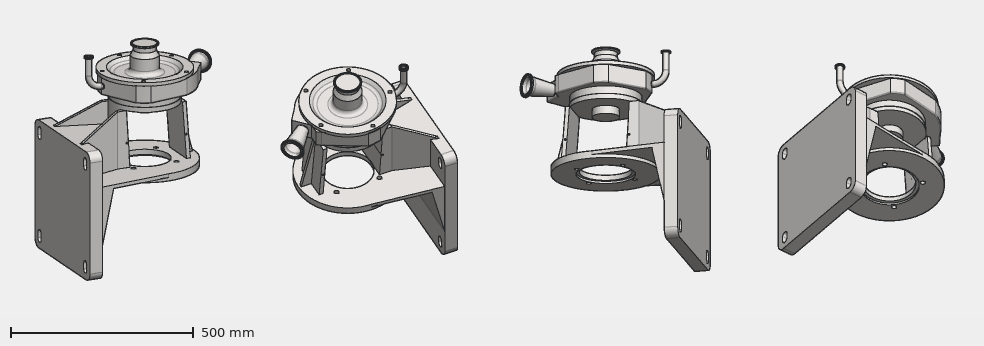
import cadquery as cq
import math


PLATE_WIDTH = 350.0
PLATE_HEIGHT = 370.0
PLATE_THICKNESS = 38.5
PLATE_BACK_Y = -249.5
PLATE_CORNER_RADIUS = 25.0
SLOT_X = 145.0
SLOT_EDGE_DISTANCE = 36.0
SLOT_WIDTH = 19.0
SLOT_LENGTH = 35.5
PLATE_FRONT_Y = PLATE_BACK_Y + PLATE_THICKNESS

BASE_TOP_Z = 270.0
BASE_SHEET_THICKNESS = 11.0
BASE_RING_THICKNESS = 10.0
BASE_RADIUS = 150.0
BASE_HALF_WIDTH = 173.5
BASE_BORE_RADIUS = 72.5
BASE_RECESS_RADIUS = 81.5
BASE_RECESS_DEPTH = 6.0
BASE_HOLE_CIRCLE_RADIUS = 92.0
BASE_HOLE_COUNT = 4
FIRST_BASE_HOLE_ANGLE = 45.0
BASE_HOLE_DIAMETER = 13.0
BASE_SHEET_BOTTOM_Z = BASE_TOP_Z - BASE_SHEET_THICKNESS
BASE_BOTTOM_Z = BASE_SHEET_BOTTOM_Z - BASE_RING_THICKNESS

WEDGE_REACH = 36.0
WEDGE_BOTTOM_Z = 100.0

RING_BOTTOM_Z = 435.5
COLUMN_HALF_WIDTH = 54.0
FRONT_INNER_Y_TOP = -81.0
FRONT_INNER_Y_BOTTOM = -70.5
REAR_INNER_Y_TOP = 88.5
REAR_INNER_Y_BOTTOM = 101.0
REAR_OUTER_Y_TOP = 100.0
REAR_OUTER_Y_BOTTOM = 113.0
REAR_RIB_Y_TOP = 101.5
REAR_RIB_Y_BOTTOM = 143.0
RIB_THICKNESS = 9.5
FRONT_RIB_START_Y = -108.0
FRONT_RIB_END_Y = -234.0
FRONT_RIB_SPLAY = 16.0
COLUMN_OVERLAP = 6.0
PIN_HOLE_DIAMETER = 5.0
PIN_HOLE_Z = 340.5
PIN_HOLE_YS = (-79.5, 101.0)

LOWER_RING_RADIUS = 100.0
LOWER_RING_HEIGHT = 14.5
UPPER_RING_RADIUS = 99.0
STUB_RADIUS = 37.5
STUB_LENGTH = 23.0

CASING_BOTTOM_Z = 471.5
CASING_RADIUS = 131.0
CASING_FILLET = 3.0
FLANGE_RADIUS = 134.0
FLANGE_THICKNESS = 10.0
FLANGE_TOP_Z = 533.0
BOLT_COUNT = 5
BOLT_CIRCLE_RADIUS = 121.0
BOLT_HOLE_DIAMETER = 11.0
FIRST_BOLT_ANGLE = 45.0
LAND_HALF_ANGLE = 9.0
FLANGE_BOTTOM_Z = FLANGE_TOP_Z - FLANGE_THICKNESS
PORT_Z = (CASING_BOTTOM_Z + FLANGE_BOTTOM_Z) / 2

SPOUT_CORNER = (6.0, 167.5)
SPOUT_FACE_RUN = 41.0
SPOUT_WALL_END = (45.0, 140.5)
SPOUT_CURVE_MID = (79.5, 115.0)
SPOUT_HEEL = (-64.0, 126.5)
SPOUT_HEEL_FLAT_END = (-72.5, 114.5)

DISH_DEPTH = 14.5
DISH_RIM_RADIUS = 105.0
DISH_FLOOR_RADIUS = 84.0
HUB_RADIUS = 40.0
HUB_FILLET_RADIUS = DISH_DEPTH

GROOVE_INSET = 3.0
GROOVE_WIDTH = 2.0
GROOVE_DEPTH = 1.0

SUCTION_TOP_Z = 603.0
SUCTION_RIM_RADIUS = 38.5
SUCTION_RIM_THICKNESS = 3.5
SUCTION_RIM_TAPER = 3.0
NECK_RADIUS = 32.0
NECK_BOTTOM_Z = 584.0
SHOULDER_Z = 568.0

OUTLET_FLANGE_CENTER = (-76.5, 205.0)
OUTLET_ANGLE = 45.0
OUTLET_LENGTH = 85.0
OUTLET_RIM_RADIUS = 33.0
OUTLET_RIM_THICKNESS = 3.5
OUTLET_COLLAR_LENGTH = 14.5
OUTLET_PIPE_RADIUS = 27.0
OUTLET_THROAT_RADIUS = 17.5
OUTLET_WALL = 3.0

DRAIN_Y = -170.0
DRAIN_TOP_Z = 588.5
DRAIN_RADIUS = 9.0
DRAIN_BORE_RADIUS = 6.0
DRAIN_BEND_RADIUS = 36.0
DRAIN_RIM_RADIUS = 13.0
DRAIN_RIM_THICKNESS = 4.0
DRAIN_START_Y = -126.5


def cylinder(radius, bottom_z, top_z):
    return cq.Workplane("XY").workplane(offset=bottom_z).circle(radius).extrude(top_z - bottom_z)


def side_profile(points, half_width):
    """Extrude a closed (y, z) outline symmetrically about the YZ plane."""
    return cq.Workplane("YZ").polyline(points).close().extrude(half_width, both=True)


def on_circle(radius, angle):
    return (radius * math.cos(math.radians(angle)), radius * math.sin(math.radians(angle)))


def mounting_plate():
    slot_rise = PLATE_HEIGHT / 2 - SLOT_EDGE_DISTANCE
    slot_points = [(x, z) for x in (-SLOT_X, SLOT_X) for z in (-slot_rise, slot_rise)]
    front = cq.Workplane("XZ", origin=(0, PLATE_FRONT_Y, PLATE_HEIGHT / 2))
    plate = front.rect(PLATE_WIDTH, PLATE_HEIGHT).extrude(PLATE_THICKNESS)
    plate = plate.edges("|Y").fillet(PLATE_CORNER_RADIUS)
    slots = front.pushPoints(slot_points).slot2D(SLOT_LENGTH, SLOT_WIDTH, 90).extrude(PLATE_THICKNESS)
    return plate.cut(slots)


def base_outline(bottom_z, height):
    """Half disc on the pump axis joined by straight sides to the full width of the plate."""
    return (
        cq.Workplane("XY", origin=(0, 0, bottom_z))
        .moveTo(-BASE_HALF_WIDTH, PLATE_FRONT_Y)
        .lineTo(BASE_HALF_WIDTH, PLATE_FRONT_Y)
        .lineTo(BASE_RADIUS, 0)
        .threePointArc((0, BASE_RADIUS), (-BASE_RADIUS, 0))
        .close()
        .extrude(height)
    )


def base_flange():
    base = base_outline(BASE_SHEET_BOTTOM_Z, BASE_SHEET_THICKNESS)
    base = base.union(cylinder(BASE_RADIUS, BASE_BOTTOM_Z, BASE_SHEET_BOTTOM_Z))
    base = base.cut(cylinder(BASE_BORE_RADIUS, BASE_BOTTOM_Z, BASE_TOP_Z))
    base = base.cut(cylinder(BASE_RECESS_RADIUS, BASE_BOTTOM_Z, BASE_BOTTOM_Z + BASE_RECESS_DEPTH))
    holes = (
        cq.Workplane("XY", origin=(0, 0, BASE_BOTTOM_Z))
        .polarArray(BASE_HOLE_CIRCLE_RADIUS, FIRST_BASE_HOLE_ANGLE, 360, BASE_HOLE_COUNT)
        .circle(BASE_HOLE_DIAMETER / 2)
        .extrude(BASE_TOP_Z - BASE_BOTTOM_Z)
    )
    return base.cut(holes)


def wedge():
    profile = side_profile(
        [
            (PLATE_FRONT_Y, BASE_SHEET_BOTTOM_Z),
            (PLATE_FRONT_Y + WEDGE_REACH, BASE_SHEET_BOTTOM_Z),
            (PLATE_FRONT_Y, WEDGE_BOTTOM_Z),
        ],
        PLATE_WIDTH / 2,
    )
    return profile.intersect(base_outline(WEDGE_BOTTOM_Z, BASE_SHEET_BOTTOM_Z - WEDGE_BOTTOM_Z))


def front_column():
    wall = side_profile(
        [
            (FRONT_INNER_Y_BOTTOM, BASE_TOP_Z),
            (FRONT_INNER_Y_TOP, RING_BOTTOM_Z),
            (FRONT_RIB_START_Y, RING_BOTTOM_Z),
            (FRONT_RIB_START_Y, BASE_TOP_Z),
        ],
        COLUMN_HALF_WIDTH,
    )
    return wall.intersect(cylinder(LOWER_RING_RADIUS, BASE_TOP_Z, RING_BOTTOM_Z))


def front_ribs_and_shelf():
    """Splayed ribs tying the front column to the plate, with a shelf filling the space between."""
    run_per_length = math.tan(math.radians(FRONT_RIB_SPLAY))
    width_along_x = RIB_THICKNESS / math.cos(math.radians(FRONT_RIB_SPLAY))
    inner_start_y = FRONT_INNER_Y_TOP - COLUMN_OVERLAP

    def outer_x(y):
        return COLUMN_HALF_WIDTH + (FRONT_RIB_START_Y - y) * run_per_length

    outer_end = (outer_x(FRONT_RIB_END_Y), FRONT_RIB_END_Y)
    inner_end = (outer_end[0] - width_along_x, FRONT_RIB_END_Y)
    inner_start = (outer_x(inner_start_y) - width_along_x, inner_start_y)
    rib_outline = [
        (COLUMN_HALF_WIDTH, FRONT_INNER_Y_TOP),
        (COLUMN_HALF_WIDTH, FRONT_RIB_START_Y),
        outer_end,
        inner_end,
        inner_start,
    ]
    rib = cq.Workplane("XY", origin=(0, 0, BASE_TOP_Z)).polyline(rib_outline).close()
    rib = rib.extrude(RING_BOTTOM_Z - BASE_TOP_Z)
    slope = side_profile(
        [
            (FRONT_INNER_Y_TOP, BASE_TOP_Z),
            (FRONT_INNER_Y_TOP, RING_BOTTOM_Z),
            (FRONT_RIB_START_Y, RING_BOTTOM_Z),
            (FRONT_RIB_END_Y, PLATE_HEIGHT),
            (PLATE_FRONT_Y, PLATE_HEIGHT),
            (PLATE_FRONT_Y, BASE_TOP_Z),
        ],
        PLATE_WIDTH / 2,
    )
    rib = rib.intersect(slope)
    shelf_half = [inner_start, inner_end]
    shelf_outline = shelf_half + [(-x, y) for x, y in reversed(shelf_half)]
    shelf = cq.Workplane("XY", origin=(0, 0, BASE_TOP_Z)).polyline(shelf_outline).close()
    shelf = shelf.extrude(PLATE_HEIGHT - BASE_TOP_Z).intersect(slope)
    return shelf.union(rib).union(rib.mirror("YZ"))


def rear_column():
    def leaning(inner_top, inner_bottom, outer_top, outer_bottom, half_width):
        outline = [
            (inner_bottom, BASE_TOP_Z),
            (inner_top, RING_BOTTOM_Z),
            (outer_top, RING_BOTTOM_Z),
            (outer_bottom, BASE_TOP_Z),
        ]
        return side_profile(outline, half_width)

    wall = leaning(
        REAR_INNER_Y_TOP, REAR_INNER_Y_BOTTOM, REAR_OUTER_Y_TOP, REAR_OUTER_Y_BOTTOM, COLUMN_HALF_WIDTH
    )
    rib = leaning(REAR_INNER_Y_TOP, REAR_INNER_Y_BOTTOM, REAR_RIB_Y_TOP, REAR_RIB_Y_BOTTOM, RIB_THICKNESS / 2)
    return wall.union(rib)


def pin_holes():
    return (
        cq.Workplane("YZ")
        .pushPoints([(y, PIN_HOLE_Z) for y in PIN_HOLE_YS])
        .circle(PIN_HOLE_DIAMETER / 2)
        .extrude(PLATE_WIDTH / 2, both=True)
    )


def bearing_ring():
    lower_top_z = RING_BOTTOM_Z + LOWER_RING_HEIGHT
    ring = cylinder(LOWER_RING_RADIUS, RING_BOTTOM_Z, lower_top_z)
    ring = ring.union(cylinder(UPPER_RING_RADIUS, lower_top_z, CASING_BOTTOM_Z))
    return ring.union(cylinder(STUB_RADIUS, RING_BOTTOM_Z - STUB_LENGTH, RING_BOTTOM_Z))


def casing():
    """Volute body: round lands at the bolts, flats between them and a spout towards the outlet."""
    spacing = 360 / BOLT_COUNT
    outline = cq.Workplane("XY", origin=(0, 0, CASING_BOTTOM_Z)).moveTo(*SPOUT_HEEL_FLAT_END)
    for index in range(2, BOLT_COUNT):
        angle = FIRST_BOLT_ANGLE + index * spacing
        outline = outline.lineTo(*on_circle(CASING_RADIUS, angle - LAND_HALF_ANGLE))
        outline = outline.threePointArc(
            on_circle(CASING_RADIUS, angle), on_circle(CASING_RADIUS, angle + LAND_HALF_ANGLE)
        )
    outline = (
        outline.lineTo(*on_circle(CASING_RADIUS, FIRST_BOLT_ANGLE - LAND_HALF_ANGLE))
        .threePointArc(SPOUT_CURVE_MID, SPOUT_WALL_END)
        .lineTo(*SPOUT_CORNER)
        .lineTo(SPOUT_CORNER[0] - SPOUT_FACE_RUN, SPOUT_CORNER[1] - SPOUT_FACE_RUN)
        .lineTo(*SPOUT_HEEL)
        .close()
    )
    body = outline.extrude(FLANGE_BOTTOM_Z - CASING_BOTTOM_Z).faces("<Z").edges().fillet(CASING_FILLET)
    body = body.union(cylinder(FLANGE_RADIUS, FLANGE_BOTTOM_Z, FLANGE_TOP_Z))
    bolt_holes = (
        cq.Workplane("XY", origin=(0, 0, FLANGE_BOTTOM_Z))
        .polarArray(BOLT_CIRCLE_RADIUS, FIRST_BOLT_ANGLE, 360, BOLT_COUNT)
        .circle(BOLT_HOLE_DIAMETER / 2)
        .extrude(FLANGE_THICKNESS)
    )
    return body.cut(bolt_holes)


def dish():
    """Recess with a 45 degree rim, blended into its floor and into the suction hub."""
    floor_z = FLANGE_TOP_Z - DISH_DEPTH
    rim_blend = DISH_RIM_RADIUS - DISH_DEPTH - DISH_FLOOR_RADIUS
    blend_offset = rim_blend * math.cos(math.radians(45))
    hub_fillet_mid = HUB_FILLET_RADIUS * (1 - math.cos(math.radians(45)))
    return (
        cq.Workplane("XZ")
        .moveTo(HUB_RADIUS, FLANGE_TOP_Z)
        .threePointArc(
            (HUB_RADIUS + hub_fillet_mid, floor_z + hub_fillet_mid),
            (HUB_RADIUS + HUB_FILLET_RADIUS, floor_z),
        )
        .lineTo(DISH_FLOOR_RADIUS, floor_z)
        .tangentArcPoint((rim_blend + blend_offset, blend_offset))
        .lineTo(DISH_RIM_RADIUS, FLANGE_TOP_Z)
        .close()
        .revolve(360, (0, 0, 0), (0, 1, 0))
    )


def gasket_groove(rim_radius, top_z):
    outer_radius = rim_radius - GROOVE_INSET
    face = cq.Workplane("XY", origin=(0, 0, top_z))
    return face.circle(outer_radius).circle(outer_radius - GROOVE_WIDTH).extrude(-GROOVE_DEPTH)


def suction_nozzle():
    rim_bottom_z = SUCTION_TOP_Z - SUCTION_RIM_THICKNESS
    outline = [
        (0, FLANGE_TOP_Z),
        (HUB_RADIUS, FLANGE_TOP_Z),
        (HUB_RADIUS, SHOULDER_Z),
        (NECK_RADIUS, NECK_BOTTOM_Z),
        (NECK_RADIUS, rim_bottom_z - SUCTION_RIM_TAPER),
        (SUCTION_RIM_RADIUS, rim_bottom_z),
        (SUCTION_RIM_RADIUS, SUCTION_TOP_Z),
        (0, SUCTION_TOP_Z),
    ]
    nozzle = cq.Workplane("XZ").polyline(outline).close().revolve(360, (0, 0, 0), (0, 1, 0))
    return nozzle.cut(gasket_groove(SUCTION_RIM_RADIUS, SUCTION_TOP_Z))


def discharge_nozzle():
    """Hollow flared pipe, described from its flange face (local Z = 0) back to the casing."""
    outline = [
        (OUTLET_PIPE_RADIUS - OUTLET_WALL, 0),
        (OUTLET_RIM_RADIUS, 0),
        (OUTLET_RIM_RADIUS, -OUTLET_RIM_THICKNESS),
        (OUTLET_PIPE_RADIUS, -OUTLET_RIM_THICKNESS),
        (OUTLET_PIPE_RADIUS, -OUTLET_COLLAR_LENGTH),
        (OUTLET_THROAT_RADIUS, -OUTLET_LENGTH),
        (OUTLET_THROAT_RADIUS - OUTLET_WALL, -OUTLET_LENGTH),
        (OUTLET_PIPE_RADIUS - OUTLET_WALL, -OUTLET_COLLAR_LENGTH),
    ]
    pipe = cq.Workplane("XZ").polyline(outline).close().revolve(360, (0, 0, 0), (0, 1, 0))
    pipe = pipe.cut(gasket_groove(OUTLET_RIM_RADIUS, 0))
    pipe = pipe.rotate((0, 0, 0), (1, 0, 0), -90).rotate((0, 0, 0), (0, 0, 1), OUTLET_ANGLE)
    return pipe.translate((OUTLET_FLANGE_CENTER[0], OUTLET_FLANGE_CENTER[1], PORT_Z))


def drain_elbow():
    bend_mid = DRAIN_BEND_RADIUS * math.cos(math.radians(45))
    bend_center_y = DRAIN_Y + DRAIN_BEND_RADIUS
    bend_center_z = PORT_Z + DRAIN_BEND_RADIUS
    path = (
        cq.Workplane("YZ")
        .moveTo(DRAIN_START_Y, PORT_Z)
        .lineTo(bend_center_y, PORT_Z)
        .threePointArc((bend_center_y - bend_mid, bend_center_z - bend_mid), (DRAIN_Y, bend_center_z))
        .lineTo(DRAIN_Y, DRAIN_TOP_Z)
    )
    start = cq.Workplane("XZ", origin=(0, DRAIN_START_Y, PORT_Z))
    pipe = start.circle(DRAIN_RADIUS).circle(DRAIN_BORE_RADIUS).sweep(path)
    rim_bottom_z = DRAIN_TOP_Z - DRAIN_RIM_THICKNESS
    rim = cylinder(DRAIN_RIM_RADIUS, rim_bottom_z, DRAIN_TOP_Z)
    rim = rim.cut(cylinder(DRAIN_BORE_RADIUS, rim_bottom_z, DRAIN_TOP_Z))
    rim = rim.cut(gasket_groove(DRAIN_RIM_RADIUS, DRAIN_TOP_Z))
    return pipe.union(rim.translate((0, DRAIN_Y, 0)))


bracket = mounting_plate().union(base_flange()).union(wedge())
bracket = bracket.union(front_column()).union(front_ribs_and_shelf()).union(rear_column()).cut(pin_holes())
pump = casing().cut(dish()).union(suction_nozzle()).union(discharge_nozzle()).union(drain_elbow())
result = bracket.union(bearing_ring()).union(pump).clean()